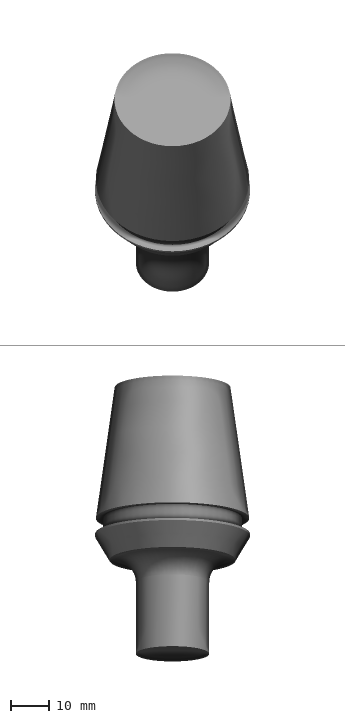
import cadquery as cq

total_height = 71.0
stem_height = 19.2
collar_bottom = 25.0
rim_bottom = 31.4
collar_top = 31.95
head_bottom = 36.15

stem_radius = 19.2 / 2
neck_radius = 36.2 / 2
rim_radius = 40.5 / 2
collar_bottom_radius = 16.5
head_bottom_radius = 20.0
head_top_radius = 15.1

flare_radius = collar_bottom - stem_height
flare_outer_radius = stem_radius + flare_radius

profile = (
    cq.Workplane("XZ")
    .lineTo(stem_radius, 0)
    .lineTo(stem_radius, stem_height)
    .radiusArc((flare_outer_radius, collar_bottom), flare_radius)
    .lineTo(collar_bottom_radius, collar_bottom)
    .lineTo(rim_radius, rim_bottom)
    .lineTo(rim_radius, collar_top)
    .lineTo(neck_radius, collar_top)
    .lineTo(neck_radius, head_bottom)
    .lineTo(head_bottom_radius, head_bottom)
    .lineTo(head_top_radius, total_height)
    .lineTo(0, total_height)
    .close()
)

result = profile.revolve(360, (0, 0, 0), (0, 1, 0))